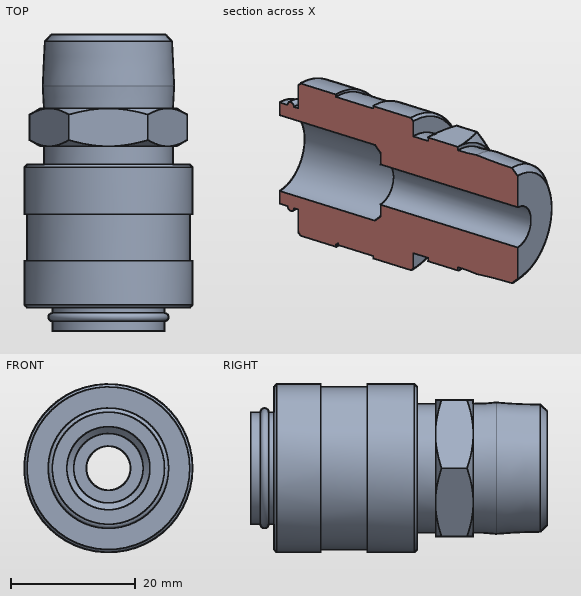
import cadquery as cq
import math

LENGTH = 47.5
RING_CENTRE_Y = 2.25
SLEEVE_START = 3.7
GROOVE_START = 11.25
GROOVE_END = 18.65
SLEEVE_END = 26.7
HEX_START = 29.6
HEX_END = 35.62
THREAD_CREST_Y = 39.3
END_BEVEL_START = 46.35

NOSE_RADIUS = 9.0
RING_RADIUS = 9.65
SLEEVE_RADIUS = 13.5
GROOVE_RADIUS = 13.05
SLEEVE_CHAMFER = 0.48
NECK_RADIUS = 10.35
THREAD_CREST_RADIUS = 10.55
THREAD_END_RADIUS = 10.2
END_FACE_RADIUS = 9.1

HEX_FLATS = 21.9
HEX_CHAMFER_ANGLE = 30.0

SOCKET_RADIUS = 6.65
SOCKET_DEPTH = 19.0
SEAT_RADIUS = 5.55
HOLE_RADIUS = 3.5
SEAT_DEPTH = SOCKET_DEPTH + SOCKET_RADIUS - SEAT_RADIUS


def revolve_profile(sketch):
    """Close a (radius, Y) profile and turn it about the Y axis."""
    return sketch.close().revolve(360, (0, 0, 0), (0, 1, 0))


def outer_body():
    """Nose, grip sleeve, neck and tapered thread as one turned solid."""
    chamfered_radius = SLEEVE_RADIUS - SLEEVE_CHAMFER
    return revolve_profile(cq.Workplane("XY").polyline([
        (0, 0),
        (NOSE_RADIUS, 0),
        (NOSE_RADIUS, SLEEVE_START),
        (chamfered_radius, SLEEVE_START),
        (SLEEVE_RADIUS, SLEEVE_START + SLEEVE_CHAMFER),
        (SLEEVE_RADIUS, GROOVE_START),
        (GROOVE_RADIUS, GROOVE_START),
        (GROOVE_RADIUS, GROOVE_END),
        (SLEEVE_RADIUS, GROOVE_END),
        (SLEEVE_RADIUS, SLEEVE_END - SLEEVE_CHAMFER),
        (chamfered_radius, SLEEVE_END),
        (NECK_RADIUS, SLEEVE_END),
        (NECK_RADIUS, HEX_END),
        (THREAD_CREST_RADIUS, THREAD_CREST_Y),
        (THREAD_END_RADIUS, END_BEVEL_START),
        (END_FACE_RADIUS, LENGTH),
        (0, LENGTH),
    ]))


def snap_ring():
    """Round-edged ring standing proud of the nose."""
    half_width = RING_RADIUS - NOSE_RADIUS
    root_radius = NOSE_RADIUS - half_width
    front = RING_CENTRE_Y - half_width
    back = RING_CENTRE_Y + half_width
    return revolve_profile(
        cq.Workplane("XY")
        .moveTo(root_radius, front)
        .lineTo(NOSE_RADIUS, front)
        .threePointArc((RING_RADIUS, RING_CENTRE_Y), (NOSE_RADIUS, back))
        .lineTo(root_radius, back)
    )


def hexagon():
    """Hexagon with conical chamfers that start at the flats on both faces."""
    corner_radius = HEX_FLATS / 2 / math.cos(math.radians(30))
    face_radius = HEX_FLATS / 2
    rise = (corner_radius - face_radius) * math.tan(math.radians(HEX_CHAMFER_ANGLE))
    prism = (
        cq.Workplane("XZ", origin=(0, HEX_START, 0))
        .polygon(6, 2 * corner_radius)
        .extrude(HEX_START - HEX_END)
    )
    envelope = revolve_profile(cq.Workplane("XY").polyline([
        (0, HEX_START),
        (face_radius, HEX_START),
        (corner_radius, HEX_START + rise),
        (corner_radius, HEX_END - rise),
        (face_radius, HEX_END),
        (0, HEX_END),
    ]))
    return prism.intersect(envelope)


def stepped_bore():
    """Socket with a conical seat, continuing as a through hole."""
    return revolve_profile(cq.Workplane("XY").polyline([
        (0, 0),
        (SOCKET_RADIUS, 0),
        (SOCKET_RADIUS, SOCKET_DEPTH),
        (SEAT_RADIUS, SEAT_DEPTH),
        (HOLE_RADIUS, SEAT_DEPTH),
        (HOLE_RADIUS, LENGTH),
        (0, LENGTH),
    ]))


result = outer_body().union(snap_ring()).union(hexagon()).cut(stepped_bore())